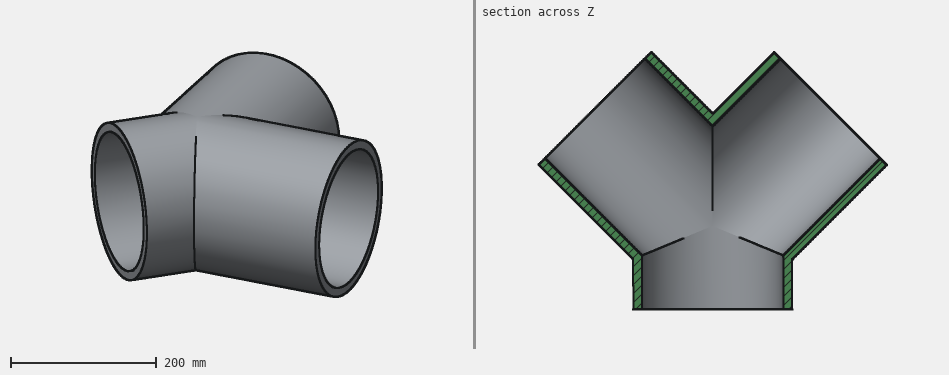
import cadquery as cq
import math

outer_diameter = 219.0
bore_diameter = 193.5
overall_width = 478.0
overall_depth = 353.5
branch_angle = 45.0

tilt = math.radians(branch_angle)
outer_radius = outer_diameter / 2
branch_length = (overall_width / 2 - outer_radius * math.cos(tilt)) / math.sin(tilt)

branch_reach = branch_length * math.cos(tilt) + outer_radius * math.sin(tilt)
stem_length = overall_depth - branch_reach

branch_x = math.sin(tilt)
branch_y = math.cos(tilt)
legs = [
    (cq.Vector(0, -1, 0), stem_length),
    (cq.Vector(branch_x, branch_y, 0), branch_length),
    (cq.Vector(-branch_x, branch_y, 0), branch_length),
]


def joined_cylinders(diameter):
    """Three cylinders of one diameter running outward from the junction."""
    cylinders = [
        cq.Solid.makeCylinder(diameter / 2, length, cq.Vector(0, 0, 0), direction)
        for direction, length in legs
    ]
    joined = cq.Workplane("XY").add(cylinders[0])
    for cylinder in cylinders[1:]:
        joined = joined.union(cylinder)
    return joined


result = joined_cylinders(outer_diameter).cut(joined_cylinders(bore_diameter))